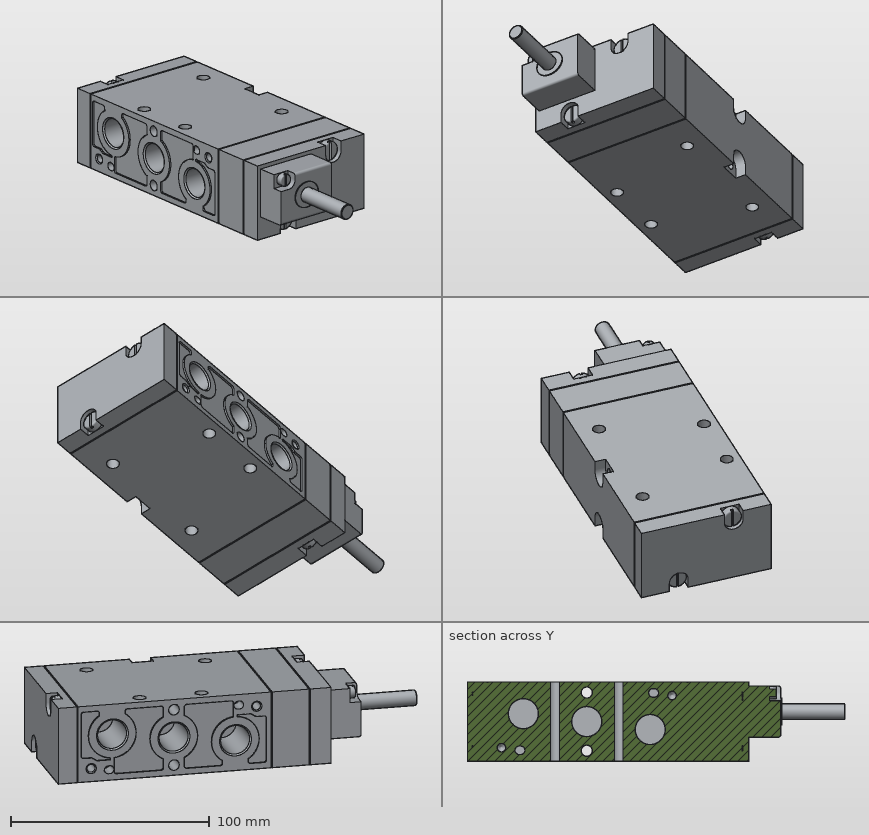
import cadquery as cq


length = 190.0
depth = 70.0
height = 40.0
body_start = 10.0
adapter_start = 110.8
right_cap_start = 130.5
right_cap_end = 141.5
mid_z = height / 2

seam_width = 0.5
seam_depth = 0.2

valve_mid_x = 60.0
port_pitch = 32.0
port_stagger = 4.0
port_dia = 15.0
port_depth = 28.5
port_chamfer = 0.8

recess_depth = 1.0
recess_half_x = 48.0
recess_half_z = 17.0
recess_corner = 1.3
recess_inner_corner = 0.4
land_radius = 12.4
outer_neck = 13.3
middle_neck = 10.8
divider_inner = 31.0
divider_outer = 32.9
shelf_z = -7.6
channel_z = -9.3
channel_x = -39.9
shelf_end_x = -42.5

mount_dia = 5.5
mount_offset_z = 14.6
mount_pocket_dia = 11.0
mount_pocket_depth = 5.7
pilot_dia = 4.2
pilot_rim_dia = 5.3
pilot_depth = 11.4
pilot_offset_x = 43.0
pilot_offset_z = 13.1
duct_width = 5.0
duct_height = 4.2
duct_depth = 9.5
duct_offset_x = 33.6
duct_offset_z = 14.5

through_dia = 6.5
back_pair_y = 58.1
back_pair_pitch = 61.5
front_pair_y = 7.2
front_pair_pitch = 32.1

cap_screw_dia = 10.0
cap_head_length = 4.2
cap_head_round = 1.0
cap_slot_width = 1.1
cap_slot_depth = 1.5
cap_screw_inset = 5.1
cap_screw_offset_y = 14.8
left_pocket_depth = 5.9
right_pocket_depth = 6.5

connector_end = 157.7
connector_width = 33.0
connector_height = 25.8
connector_y = 2.0
connector_z = 12.2
connector_round = 1.3
collar_width = 15.0
collar_height = 13.7
collar_length = 0.5
cable_dia = 8.0
cable_chamfer = 0.4

corner_pocket_dia = 8.0
corner_pocket_depth = 5.7
corner_screw_y = 7.2
corner_screw_z = 34.5
corner_head_dia = 6.5
corner_head_length = 3.5
corner_head_round = 0.5
corner_slot_width = 0.8
corner_slot_depth = 1.1


def block(x0, x1, y0, y1, z0, z1):
    return cq.Workplane("XY").box(x1 - x0, y1 - y0, z1 - z0, centered=False).translate((x0, y0, z0))


def rod_x(dia, x0, x1, y, z):
    return cq.Workplane("YZ", origin=(x0, y, z)).circle(dia / 2).extrude(x1 - x0)


def rod_y(dia, y0, y1, x, z):
    return cq.Workplane("XZ", origin=(x, y0, z)).circle(dia / 2).extrude(y0 - y1)


def edges_within(x0, x1, z0, z1):
    """Select the recess edges whose middle lies in a window of the port face."""
    margin = 0.02
    return cq.selectors.BoxSelector(
        (x0 - margin, -margin, z0 - margin), (x1 + margin, recess_depth + margin, z1 + margin))


def half_turn(shape):
    """Turn a shape half a revolution about the axis of the middle port."""
    return shape.rotate((valve_mid_x, 0, mid_z), (valve_mid_x, 1, mid_z), 180)


def make_blocks():
    blocks = block(0, right_cap_end, 0, depth, 0, height)
    for x in (body_start, adapter_start, right_cap_start):
        outer = block(x - seam_width / 2, x + seam_width / 2, 0, depth, 0, height)
        core = block(x - seam_width, x + seam_width, seam_depth, depth - seam_depth,
                     seam_depth, height - seam_depth)
        blocks = blocks.cut(outer.cut(core))
    return blocks


def make_recess_half():
    """Recess fields left of the middle: the outer one and the one beside the middle port."""
    outer_field = (
        cq.Workplane("XZ")
        .moveTo(-recess_half_x, recess_half_z)
        .lineTo(-divider_outer, recess_half_z)
        .lineTo(-divider_outer, channel_z)
        .lineTo(channel_x, channel_z)
        .lineTo(shelf_end_x, shelf_z)
        .lineTo(-recess_half_x, shelf_z)
        .close()
        .extrude(-recess_depth)
    )
    inner_field = block(-divider_inner, -middle_neck / 2, 0, recess_depth, -recess_half_z, recess_half_z)
    lands = rod_y(2 * land_radius, 0, recess_depth, -port_pitch, port_stagger)
    lands = lands.union(rod_y(2 * land_radius, 0, recess_depth, 0, 0))
    neck = block(-port_pitch - outer_neck / 2, -port_pitch + outer_neck / 2, 0, recess_depth,
                 port_stagger, recess_half_z)
    lands = lands.union(neck)
    fields = outer_field.union(inner_field).cut(lands)
    outer_corners = (
        edges_within(-recess_half_x, 0, recess_half_z, recess_half_z)
        + edges_within(-recess_half_x, 0, -recess_half_z, -recess_half_z)
        + edges_within(-recess_half_x, -recess_half_x, shelf_z, shelf_z)
    )
    fields = fields.edges("|Y").edges(outer_corners).fillet(recess_corner)
    divider_corners = edges_within(-divider_outer, -divider_inner, channel_z, shelf_z)
    fields = fields.edges("|Y").edges(divider_corners).fillet(recess_inner_corner)
    return fields.translate((valve_mid_x, 0, mid_z))


def make_port(side):
    x = valve_mid_x + side * port_pitch
    z = mid_z - side * port_stagger
    port = rod_y(port_dia, 0, port_depth, x, z)
    mouth = cq.Solid.makeCone(port_dia / 2 + port_chamfer, port_dia / 2, port_chamfer,
                              pnt=cq.Vector(x, 0, z), dir=cq.Vector(0, 1, 0))
    return port.union(cq.Workplane(mouth))


def make_pilot_hole():
    """Rimmed hole with a conical bottom."""
    rim = (pilot_rim_dia - pilot_dia) / 2
    profile = (
        cq.Workplane("XY")
        .lineTo(pilot_rim_dia / 2, 0)
        .lineTo(pilot_dia / 2, rim)
        .lineTo(pilot_dia / 2, pilot_depth)
        .lineTo(0, pilot_depth + pilot_dia / 2)
        .close()
    )
    hole = profile.revolve(360, (0, 0), (0, 1))
    return hole.translate((valve_mid_x + pilot_offset_x, 0, mid_z + pilot_offset_z))


def make_duct():
    duct = cq.Workplane("XZ").slot2D(duct_width, duct_height).extrude(-duct_depth)
    return duct.translate((valve_mid_x + duct_offset_x, 0, mid_z + duct_offset_z))


def make_mount_hole():
    """Hole along Y near the top, with a round-ended pocket at the back open to the top."""
    z = mid_z + mount_offset_z
    pocket_start = depth - mount_pocket_depth
    radius = mount_pocket_dia / 2
    hole = rod_y(mount_dia, 0, depth, valve_mid_x, z)
    hole = hole.union(rod_y(mount_pocket_dia, pocket_start, depth, valve_mid_x, z))
    return hole.union(block(valve_mid_x - radius, valve_mid_x + radius, pocket_start, depth, z, height))


def make_through_holes():
    holes = cq.Workplane("XY")
    for y, pitch in ((back_pair_y, back_pair_pitch), (front_pair_y, front_pair_pitch)):
        spots = [(valve_mid_x - pitch / 2, y), (valve_mid_x + pitch / 2, y)]
        holes = holes.pushPoints(spots).circle(through_dia / 2).extrude(height)
    return holes


def make_screw_head(dia, head_length, rounding, slot_width, slot_depth):
    """Slotted head on the X axis, standing on X = 0 and facing +X."""
    head = rod_x(dia, 0, head_length, 0, 0).faces(">X").edges().fillet(rounding)
    slot = block(head_length - slot_depth, head_length, -slot_width / 2, slot_width / 2, -dia, dia)
    return head.cut(slot)


def add_cap_screws(valve):
    head = make_screw_head(cap_screw_dia, cap_head_length, cap_head_round, cap_slot_width, cap_slot_depth)
    left_head = head.rotate((0, 0, 0), (0, 0, 1), 180).translate((left_pocket_depth, 0, 0))
    right_head = head.translate((right_cap_end - right_pocket_depth, 0, 0))
    left_span = (0, left_pocket_depth)
    right_span = (right_cap_end - right_pocket_depth, right_cap_end)
    screws = (
        (left_span, left_head, -1, True),
        (left_span, left_head, 1, False),
        (right_span, right_head, 1, True),
        (right_span, right_head, -1, False),
    )
    radius = cap_screw_dia / 2
    for (x0, x1), screw_head, side, at_top in screws:
        y = depth / 2 + side * cap_screw_offset_y
        z = height - cap_screw_inset if at_top else cap_screw_inset
        z_low, z_high = (z, height) if at_top else (0, z)
        valve = valve.cut(rod_x(cap_screw_dia, x0, x1, y, z))
        valve = valve.cut(block(x0, x1, y - radius, y + radius, z_low, z_high))
        valve = valve.union(screw_head.translate((0, y, z)))
    return valve


def make_connector():
    top = connector_z + connector_height
    connector = block(right_cap_end, connector_end, connector_y, connector_y + connector_width,
                      connector_z, top)
    connector = connector.faces(">X").edges("|Y").fillet(connector_round)

    axis_y = connector_y + connector_width / 2
    axis_z = connector_z + connector_height / 2
    collar = (
        cq.Workplane("YZ", origin=(connector_end, axis_y, axis_z))
        .ellipse(collar_width / 2, collar_height / 2)
        .extrude(collar_length)
    )
    cable = rod_x(cable_dia, connector_end, length, axis_y, axis_z)
    cable = cable.faces(">X").chamfer(cable_chamfer)

    floor_x = connector_end - corner_pocket_depth
    radius = corner_pocket_dia / 2
    pocket = rod_x(corner_pocket_dia, floor_x, connector_end, corner_screw_y, corner_screw_z)
    pocket = pocket.union(block(floor_x, connector_end, connector_y, corner_screw_y,
                                corner_screw_z - radius, top))
    pocket = pocket.union(block(floor_x, connector_end, connector_y, corner_screw_y + radius,
                                corner_screw_z, top))
    head = make_screw_head(corner_head_dia, corner_head_length, corner_head_round,
                           corner_slot_width, corner_slot_depth)
    connector = connector.cut(pocket)
    connector = connector.union(head.translate((floor_x, corner_screw_y, corner_screw_z)))
    return connector.union(collar).union(cable)


result = make_blocks()
for feature in (make_recess_half(), make_pilot_hole(), make_duct(), make_mount_hole()):
    result = result.cut(feature).cut(half_turn(feature))
for side in (-1, 0, 1):
    result = result.cut(make_port(side))
result = result.cut(make_through_holes())
result = add_cap_screws(result)
result = result.union(make_connector())